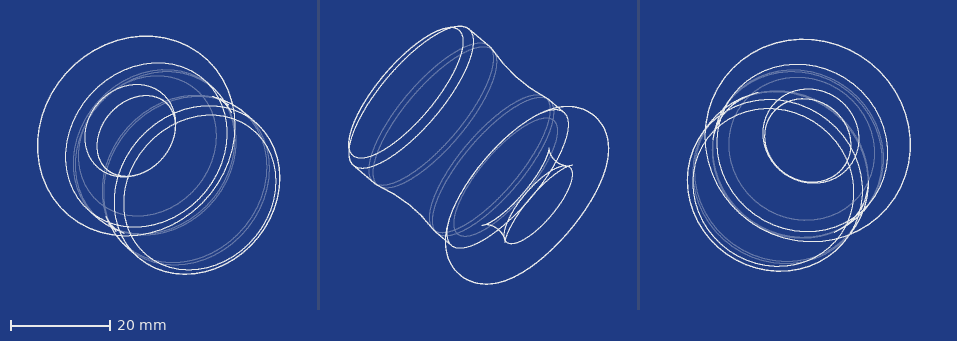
import cadquery as cq
import math

ring_outer_radius = 21.0
ring_tube_radius = 6.0
ring_center_radius = ring_outer_radius - ring_tube_radius

neck_radius = 35.1 / 2
head_radius = 36.0 / 2
waist_radius = 16.8
end_chamfer = 1.45

front_face_x = 2.85
neck_end_x = 15.53
waist_start_x = 16.45
waist_end_x = 31.85
head_start_x = 32.9
back_face_x = 40.0

neck_round_drop = 0.1
head_round_drop = 0.13


def make_ring():
    return (
        cq.Workplane("XY")
        .center(ring_tube_radius, ring_center_radius)
        .circle(ring_tube_radius)
        .revolve(360, (0, -ring_center_radius), (1, -ring_center_radius))
    )


def rounding_mid_drop(length, drop):
    """Radial drop halfway along an arc that leaves a straight band tangentially."""
    arc_radius = (length**2 + drop**2) / (2 * drop)
    return arc_radius - math.sqrt(arc_radius**2 - (length / 2) ** 2)


def make_knob(ring):
    neck_round_length = waist_start_x - neck_end_x
    head_round_length = head_start_x - waist_end_x
    neck_round_mid = (
        neck_end_x + neck_round_length / 2,
        neck_radius - rounding_mid_drop(neck_round_length, neck_round_drop),
    )
    head_round_mid = (
        head_start_x - head_round_length / 2,
        head_radius - rounding_mid_drop(head_round_length, head_round_drop),
    )
    waist_mid = ((waist_start_x + waist_end_x) / 2, waist_radius)

    blank = (
        cq.Workplane("XY")
        .moveTo(front_face_x, 0)
        .lineTo(front_face_x, neck_radius)
        .lineTo(neck_end_x, neck_radius)
        .threePointArc(neck_round_mid, (waist_start_x, neck_radius - neck_round_drop))
        .threePointArc(waist_mid, (waist_end_x, head_radius - head_round_drop))
        .threePointArc(head_round_mid, (head_start_x, head_radius))
        .lineTo(back_face_x - end_chamfer, head_radius)
        .lineTo(back_face_x, head_radius - end_chamfer)
        .lineTo(back_face_x, 0)
        .close()
        .revolve(360, (0, 0), (1, 0))
    )
    return blank.cut(ring).solids()


ring = make_ring()
knob = make_knob(ring)

result = cq.Compound.makeCompound([knob.val(), ring.val()])